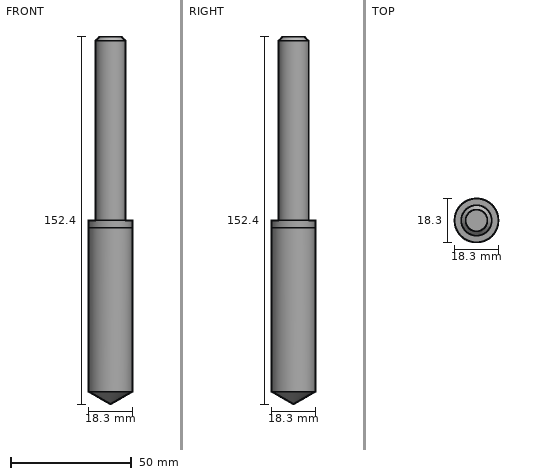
import cadquery as cq
import math

total_length = 152.4
head_diameter = 18.3
shank_diameter = 12.6
shank_length = 76.2
collar_height = 3.0
point_slope = 30.0
end_chamfer = 1.8

head_radius = head_diameter / 2
shank_radius = shank_diameter / 2
end_radius = shank_radius - end_chamfer
point_height = head_radius * math.tan(math.radians(point_slope))
collar_top = total_length - shank_length
head_top = collar_top - collar_height
chamfer_bottom = total_length - end_chamfer


def revolve_about_z(profile_points):
    """Turn a closed (radius, height) outline into a solid around the Z axis."""
    profile = cq.Workplane("XZ").polyline(profile_points).close()
    return profile.revolve(360, (0, 0), (0, 1))


def make_head():
    """Cylindrical head with a conical point at the bottom."""
    return revolve_about_z([
        (0, 0),
        (head_radius, point_height),
        (head_radius, head_top),
        (0, head_top),
    ])


def make_shank():
    """Shank with a chamfered top end and a collar resting on the head."""
    return revolve_about_z([
        (0, head_top),
        (head_radius, head_top),
        (head_radius, collar_top),
        (shank_radius, collar_top),
        (shank_radius, chamfer_bottom),
        (end_radius, total_length),
        (0, total_length),
    ])


head = make_head()
shank = make_shank()

result = cq.Compound.makeCompound([head.val(), shank.val()])